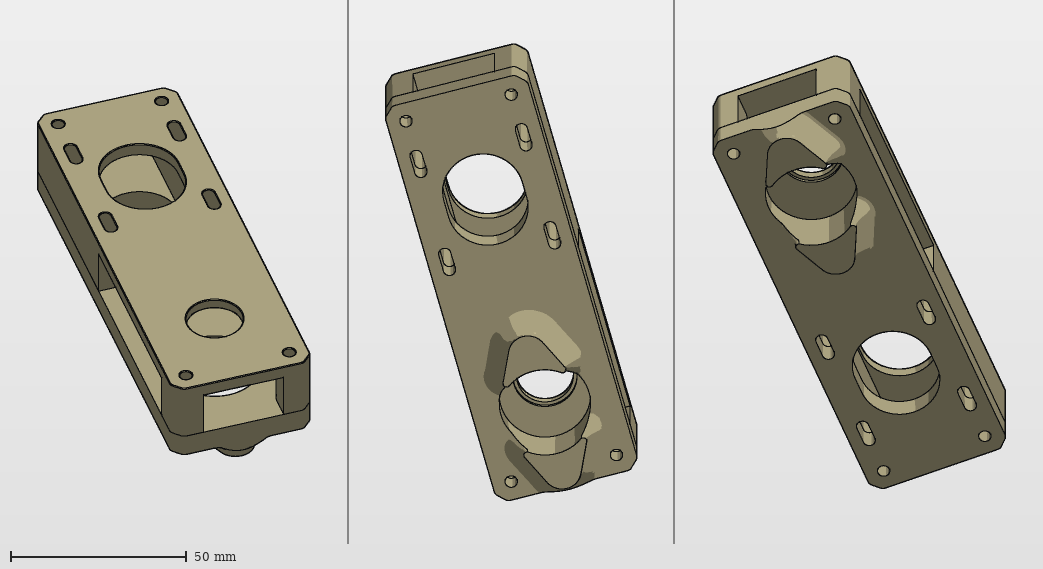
import cadquery as cq
import math


length = 125.0
width = 42.0
corner_chamfer = 3.0
corner_rounding = 2.0

housing_height = 18.0
base_thickness = 7.0
roof_thickness = 4.0
foot_height = 7.0
flare_height = 5.0

tunnel_width = 24.0
tunnel_height = housing_height - roof_thickness
window_start = 58.0
window_end = 114.0
window_rounding = 5.0
rim_chamfer = 0.2

screw_diameter = 3.5
screw_inset = 5.5
motor_x = 34.5
motor_hole_spacing = 31.0
motor_travel = 5.0
motor_opening_diameter = 23.0

lens_x = 99.0
sight_hole_diameter = 16.2
sight_seat_diameter = 18.2
sight_seat_depth = 1.0
lens_bore_diameter = 26.0

foot_nose_radius = 5.5
foot_nose_offset = 18.5
foot_corner_radius = 1.0
foot_corner_y = 8.2
foot_blend = 2.0

base_bottom = -base_thickness
foot_bottom = base_bottom - foot_height

pick_margin = 0.6


def outline_block(bottom, height):
    """Block with the shared outline: chamfered corners whose edges are rounded."""
    block = cq.Workplane("XY", origin=(length / 2, 0, bottom)).rect(length, width).extrude(height)
    block = block.edges("|Z").chamfer(corner_chamfer)
    return block.edges("|Z").fillet(corner_rounding)


def upright_cutter(bottom, height):
    """Screw holes, motor slots and motor opening as one set of vertical cutters."""
    sketch = cq.Workplane("XY", origin=(0, 0, bottom))
    screw_points = [
        (x, side * (width / 2 - screw_inset))
        for x in (screw_inset, length - screw_inset)
        for side in (-1, 1)
    ]
    slot_points = [
        (motor_x + x_side * motor_hole_spacing / 2, y_side * motor_hole_spacing / 2)
        for x_side in (-1, 1)
        for y_side in (-1, 1)
    ]
    screws = sketch.pushPoints(screw_points).circle(screw_diameter / 2).extrude(height)
    slots = (
        sketch.pushPoints(slot_points)
        .slot2D(screw_diameter + motor_travel, screw_diameter)
        .extrude(height)
    )
    opening = (
        sketch.center(motor_x, 0)
        .slot2D(motor_opening_diameter + motor_travel, motor_opening_diameter)
        .extrude(height)
    )
    return screws.union(slots).union(opening)


def lens_cutter(diameter, bottom, height):
    return cq.Workplane("XY", origin=(lens_x, 0, bottom)).circle(diameter / 2).extrude(height)


def tunnel_cutter():
    """Lengthwise tunnel crossed by the side windows, with rounded posts where they meet."""
    tunnel = cq.Workplane("XY").center(length / 2, 0).rect(2 * length, tunnel_width).extrude(tunnel_height)
    window = (
        cq.Workplane("XY")
        .center((window_start + window_end) / 2, 0)
        .rect(window_end - window_start, 2 * width)
        .extrude(tunnel_height)
    )
    post_edges = cq.selectors.BoxSelector(
        (window_start - pick_margin, -tunnel_width / 2 - pick_margin, 0),
        (window_end + pick_margin, tunnel_width / 2 + pick_margin, tunnel_height),
    )
    return tunnel.union(window).edges("|Z").edges(post_edges).fillet(window_rounding)


def make_housing():
    housing = outline_block(0, housing_height)
    housing = housing.cut(upright_cutter(0, housing_height))
    housing = housing.cut(lens_cutter(sight_hole_diameter, 0, housing_height))
    housing = housing.faces(">Z").chamfer(rim_chamfer)
    housing = housing.cut(tunnel_cutter())
    return housing.cut(lens_cutter(sight_seat_diameter, 0, tunnel_height + sight_seat_depth))


def foot_outline(z, growth):
    """Rounded triangle: a nose circle and two corner circles wrapped by tangents, grown outward.

    The corner circles touch the lens bore from outside.
    """
    nose_x = lens_x - foot_nose_offset
    corner_reach = lens_bore_diameter / 2 + foot_corner_radius
    corner_x = lens_x - math.sqrt(corner_reach**2 - foot_corner_y**2)
    centre_distance = math.hypot(corner_x - nose_x, foot_corner_y)
    side_angle = math.atan2(foot_corner_y, corner_x - nose_x) - math.asin(
        (foot_nose_radius - foot_corner_radius) / centre_distance
    )
    normal_angle = side_angle + math.pi / 2
    nose_radius = foot_nose_radius + growth
    corner_radius = foot_corner_radius + growth

    def on_nose(angle):
        return (nose_x + nose_radius * math.cos(angle), nose_radius * math.sin(angle))

    def on_corner(angle):
        return (corner_x + corner_radius * math.cos(angle), foot_corner_y + corner_radius * math.sin(angle))

    def mirrored(point):
        return (point[0], -point[1])

    return (
        cq.Workplane("XY", origin=(0, 0, z))
        .moveTo(*on_nose(normal_angle))
        .threePointArc(on_nose(math.pi), mirrored(on_nose(normal_angle)))
        .lineTo(*mirrored(on_corner(normal_angle)))
        .threePointArc(mirrored(on_corner(normal_angle / 2)), mirrored(on_corner(0)))
        .lineTo(*on_corner(0))
        .threePointArc(on_corner(normal_angle / 2), on_corner(normal_angle))
        .close()
    )


def edges_at_level(z):
    """Selector for the foot edges whose midpoints lie close to a height."""
    return cq.selectors.BoxSelector(
        (0, -width / 2, z - pick_margin),
        (length, width / 2, z + pick_margin),
    )


def make_left_foot():
    """Straight neck under a 45 degree flare, blended into each other and into the base underside."""
    flare_bottom = base_bottom - flare_height
    neck = foot_outline(foot_bottom, 0).extrude(foot_height - flare_height)
    narrow_end = foot_outline(flare_bottom, 0).wire().val()
    wide_end = foot_outline(base_bottom, flare_height).wire().val()
    flare = cq.Workplane(cq.Solid.makeLoft([narrow_end, wide_end], True))

    slab = (
        cq.Workplane("XY", origin=(lens_x, 0, base_bottom))
        .rect(2 * length, 2 * width)
        .extrude(base_thickness)
    )
    foot = slab.union(flare).union(neck)
    foot = foot.edges(edges_at_level(flare_bottom) + edges_at_level(base_bottom)).fillet(foot_blend)
    return foot.cut(slab)


def make_base():
    base = outline_block(base_bottom, base_thickness)
    left_foot = make_left_foot()
    right_foot = left_foot.mirror("YZ", (lens_x, 0, 0))
    footprint = outline_block(foot_bottom, foot_height)
    for foot in (left_foot, right_foot):
        base = base.union(foot.intersect(footprint))
    base = base.cut(upright_cutter(base_bottom, base_thickness))
    return base.cut(lens_cutter(lens_bore_diameter, foot_bottom, base_thickness + foot_height))


housing = make_housing()
base = make_base()
result = cq.Compound.makeCompound([housing.val(), base.val()])